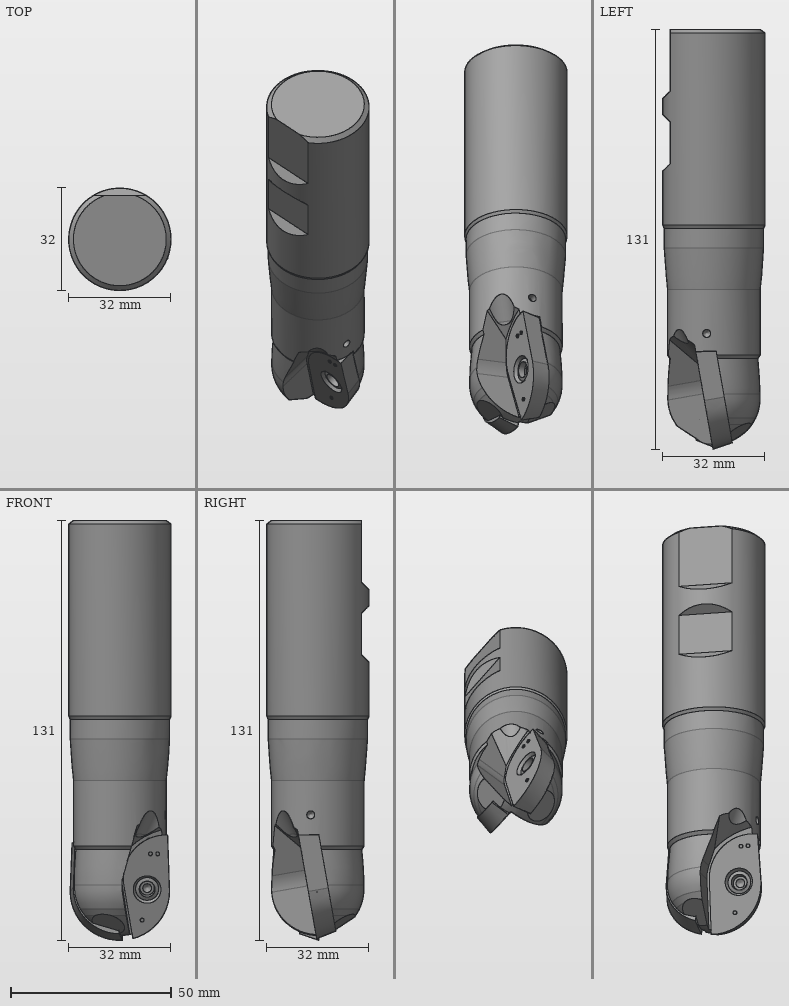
import cadquery as cq
import math

TOTAL_LENGTH = 131.0
SHANK_DIAMETER = 32.0
COLLAR_DIAMETER = 31.0
NECK_DIAMETER = 29.0
TOP_CHAMFER_HEIGHT = 1.2
SHANK_END_Z = 70.0
COLLAR_TOP_Z = 68.9
COLLAR_END_Z = 62.9
NECK_TOP_Z = 49.9
ARC_BULGE = 0.1
NECK_END_Z = 29.5

NOSE_TOP_DIAMETER = 27.5
NOSE_TOP_Z = 28.3
NOSE_CENTER_Z = 16.0
NOSE_ARC_TOP_Z = 17.3
NOSE_BAND_TOP_Z = 9.8
NOSE_BAND_END_Z = 7.7

FLAT_Y = 13.6
TOP_FLAT_END_Z = 111.7
LOWER_FLAT_TOP_Z = 102.0
LOWER_FLAT_END_Z = 89.1

CUTTING_DIAMETER = 31.0
RAKE_ANGLE = 10.0
RAKE_OFFSET = 0.3
INSERT_THICKNESS = 6.3
INSERT_RELIEF_ANGLE = 9.0
INSERT_TOP_U = 14.9
SEAT_OPENING = 1.3
INSERT_BACK_RADIUS = 13.5
OUTER_TIP_U = 4.0
OUTER_BACK_CENTER = (14.5, 19.9)
INNER_TIP_U = -0.8
INNER_BACK_CENTER = (12.7, 17.5)

SCREW_U = 8.5
SCREW_V = 16.1
SEAT_RIM_DIAMETER = 8.6
SEAT_DIAMETER = 7.2
SEAT_DEPTH = 1.0
HEAD_RISE = 0.4
SOCKET_DIAMETER = 5.0
SOCKET_FLOOR_DIAMETER = 4.5
SOCKET_DEPTH = 2.0
DRILL_POINT_DIAMETER = 2.8
DRILL_POINT_DEPTH = 0.8
DIMPLE_DIAMETER = 1.2
DIMPLE_DEPTH = 0.3
DIMPLE_PLACES = [(9.5, 27.4), (11.8, 27.4), (7.0, 6.4)]

WALL_GAP = 0.7
GASH_BEND_V = 19.8
GASH_BEND_RADIUS = 11.8
GASH_SHOULDER = (3.1, 29.5)
GASH_ARC_MIDDLE = (8.3, 33.1)
GASH_ARC_END = (14.4, 35.4)
GASH_DEPTH = 18.3
GASH_TOP_LEAN = 1.2
INNER_GASH_SHIFT = (-2.0, -2.4)
FLUTE_RADIUS = 5.1
FLUTE_START = cq.Vector(9.2, -10.7, 30.4)
FLUTE_DIRECTION = cq.Vector(3.0, -3.0, 6.6)
FLUTE_LENGTH = 26.2
INNER_SIDE_DROP = 3.0

CLEARANCE_Z = -0.8
CLEARANCE_SLOPE_X = 0.33
CLEARANCE_SLOPE_Y = 0.66

COOLANT_DIAMETER = 2.5
COOLANT_DEPTH = 2.6
COOLANT_Y = 2.2
COOLANT_Z = 39.2

rake = math.radians(RAKE_ANGLE)
RAKE_PLANE = cq.Plane(
    origin=(0, -RAKE_OFFSET, 0),
    xDir=(1, 0, 0),
    normal=(0, -math.cos(rake), -math.sin(rake)),
)


def half_turn(shape):
    return shape.rotate((0, 0, 0), (0, 0, 1), 180)


def nose_radius(z):
    """Radius of the spherical nose at height z."""
    return math.sqrt((NECK_DIAMETER / 2) ** 2 - (z - NOSE_CENTER_Z) ** 2)


def turned_blank():
    shank_r = SHANK_DIAMETER / 2
    collar_r = COLLAR_DIAMETER / 2
    neck_r = NECK_DIAMETER / 2
    nose_top_r = NOSE_TOP_DIAMETER / 2
    nose_bottom_z = NOSE_CENTER_Z - neck_r
    taper_mid = ((collar_r + neck_r) / 2 + ARC_BULGE, (COLLAR_END_Z + NECK_TOP_Z) / 2)
    nose_arc_r = nose_radius(NOSE_ARC_TOP_Z)
    flank_mid = ((nose_top_r + nose_arc_r) / 2 + ARC_BULGE, (NOSE_TOP_Z + NOSE_ARC_TOP_Z) / 2)
    band_top = (nose_radius(NOSE_BAND_TOP_Z), NOSE_BAND_TOP_Z)
    ball_mid_z = (NOSE_ARC_TOP_Z + NOSE_BAND_TOP_Z) / 2
    tip_mid_z = (NOSE_BAND_END_Z + nose_bottom_z) / 2
    return (
        cq.Workplane("XZ")
        .moveTo(0, TOTAL_LENGTH)
        .lineTo(neck_r, TOTAL_LENGTH)
        .lineTo(shank_r, TOTAL_LENGTH - TOP_CHAMFER_HEIGHT)
        .lineTo(shank_r, SHANK_END_Z)
        .lineTo(collar_r, COLLAR_TOP_Z)
        .lineTo(collar_r, COLLAR_END_Z)
        .threePointArc(taper_mid, (neck_r, NECK_TOP_Z))
        .lineTo(neck_r, NECK_END_Z)
        .lineTo(nose_top_r, NOSE_TOP_Z)
        .threePointArc(flank_mid, (nose_arc_r, NOSE_ARC_TOP_Z))
        .threePointArc((nose_radius(ball_mid_z), ball_mid_z), band_top)
        .lineTo(nose_radius(NOSE_BAND_END_Z), NOSE_BAND_END_Z)
        .threePointArc((nose_radius(tip_mid_z), tip_mid_z), (0, nose_bottom_z))
        .close()
        .revolve(360, (0, 0, 0), (0, 1, 0))
    )


def clamping_flats():
    """Material removed for the two flats; their ends rise at 45 degrees."""
    rise = SHANK_DIAMETER / 2 - FLAT_Y
    outer_y = FLAT_Y + rise
    profile = (
        cq.Workplane("YZ")
        .polyline([
            (FLAT_Y, TOTAL_LENGTH),
            (FLAT_Y, TOP_FLAT_END_Z),
            (outer_y, TOP_FLAT_END_Z - rise),
            (outer_y, TOTAL_LENGTH),
        ])
        .close()
        .polyline([
            (FLAT_Y, LOWER_FLAT_TOP_Z),
            (FLAT_Y, LOWER_FLAT_END_Z),
            (outer_y, LOWER_FLAT_END_Z - rise),
            (outer_y, LOWER_FLAT_TOP_Z + rise),
        ])
        .close()
    )
    return profile.extrude(SHANK_DIAMETER / 2, both=True)


def insert_blank(tip_u, back_center):
    """Plate with a ball-nose cutting edge, tapering away from its rake face."""
    ball_r = CUTTING_DIAMETER / 2
    center_u, center_v = back_center
    tip_v = ball_r - math.sqrt(ball_r ** 2 - tip_u ** 2)
    mid_angle = math.atan2(tip_v - ball_r, tip_u) / 2
    ball_mid = (ball_r * math.cos(mid_angle), ball_r + ball_r * math.sin(mid_angle))

    reach = math.hypot(center_u - tip_u, center_v - tip_v)
    edge_length = math.sqrt(reach ** 2 - INSERT_BACK_RADIUS ** 2)
    edge_angle = math.atan2(center_v - tip_v, center_u - tip_u) + math.asin(INSERT_BACK_RADIUS / reach)
    tangent = (tip_u + edge_length * math.cos(edge_angle), tip_v + edge_length * math.sin(edge_angle))

    top_angle = math.acos((INSERT_TOP_U - center_u) / INSERT_BACK_RADIUS)
    top_v = center_v + INSERT_BACK_RADIUS * math.sin(top_angle)
    arc_angle = (top_angle + edge_angle + math.pi / 2) / 2
    arc_mid = (
        center_u + INSERT_BACK_RADIUS * math.cos(arc_angle),
        center_v + INSERT_BACK_RADIUS * math.sin(arc_angle),
    )
    return (
        cq.Workplane(RAKE_PLANE)
        .moveTo(tip_u, tip_v)
        .threePointArc(ball_mid, (ball_r, ball_r))
        .lineTo(INSERT_TOP_U, top_v)
        .threePointArc(arc_mid, tangent)
        .close()
        .extrude(-INSERT_THICKNESS, taper=INSERT_RELIEF_ANGLE)
    )


def screw_recess():
    """Ring-shaped recess around a domed screw head, with a drilled socket in the head."""
    floor_w = HEAD_RISE - SEAT_DEPTH
    socket_w = floor_w - SOCKET_DEPTH
    section_plane = cq.Plane(
        origin=RAKE_PLANE.toWorldCoords((SCREW_U, SCREW_V)),
        xDir=RAKE_PLANE.xDir,
        normal=RAKE_PLANE.yDir * -1,
    )
    profile = (
        cq.Workplane(section_plane)
        .polyline([
            (0, 0),
            (SEAT_RIM_DIAMETER / 2, 0),
            (SEAT_DIAMETER / 2, -SEAT_DEPTH),
            (SOCKET_DIAMETER / 2, floor_w),
            (SOCKET_FLOOR_DIAMETER / 2, socket_w),
            (DRILL_POINT_DIAMETER / 2, socket_w),
            (0, socket_w - DRILL_POINT_DEPTH),
        ])
        .close()
    )
    return profile.revolve(360, (0, 0, 0), (0, 1, 0))


def index_dimples():
    return (
        cq.Workplane(RAKE_PLANE)
        .pushPoints(DIMPLE_PLACES)
        .circle(DIMPLE_DIAMETER / 2)
        .extrude(-DIMPLE_DEPTH)
    )


def chip_gash(tip_u, shift):
    """Open space in front of a rake face, with its wall square to that face."""
    shift_u, shift_v = shift

    def moved(point):
        return (point[0] + shift_u, point[1] + shift_v)

    bend = (OUTER_BACK_CENTER[0] - INSERT_BACK_RADIUS - WALL_GAP + shift_u, GASH_BEND_V)
    shoulder = moved(GASH_SHOULDER)
    arc_end = moved(GASH_ARC_END)
    wall_slope = (shoulder[0] - bend[0]) / (shoulder[1] - bend[1])
    far = SHANK_DIAMETER
    wall_start = (tip_u - WALL_GAP, 0)
    space = (
        cq.Workplane(RAKE_PLANE)
        .polyline([
            (wall_start[0], -far),
            wall_start,
            bend,
            (bend[0] + far * wall_slope, bend[1] + far),
            (far, bend[1] + far),
            (far, -far),
        ])
        .close()
        .extrude(GASH_DEPTH)
    )
    bend_middle = RAKE_PLANE.toWorldCoords((bend[0], bend[1], GASH_DEPTH / 2))
    space = space.edges(cq.NearestToPointSelector(bend_middle)).fillet(GASH_BEND_RADIUS)

    rise = GASH_TOP_LEAN * GASH_DEPTH
    lean = RAKE_PLANE.toWorldCoords((rise * wall_slope, rise, GASH_DEPTH)) - RAKE_PLANE.origin
    under_top = (
        cq.Workplane(RAKE_PLANE)
        .moveTo(-far, shoulder[1])
        .lineTo(*shoulder)
        .threePointArc(moved(GASH_ARC_MIDDLE), arc_end)
        .lineTo(far, arc_end[1])
        .lineTo(far, -2 * far)
        .lineTo(-far, -2 * far)
        .close()
    )
    return space.intersect(cq.Workplane(cq.Solid.extrudeLinear(under_top.val(), [], lean)))


def flute(drop):
    """Ball-ended groove that carries chips up and out of the gash."""
    start = FLUTE_START - cq.Vector(0, 0, drop)
    groove = cq.Solid.makeCylinder(FLUTE_RADIUS, FLUTE_LENGTH, start, FLUTE_DIRECTION)
    ball = cq.Workplane("XY").sphere(FLUTE_RADIUS).translate(start)
    return ball.union(cq.Workplane(groove))


def clearance_cut():
    """Wedge below the sloping face that clears the holder behind an insert on the +X side."""
    plane = cq.Plane(
        origin=(0, 0, CLEARANCE_Z),
        xDir=(1, 0, CLEARANCE_SLOPE_X),
        normal=(-CLEARANCE_SLOPE_X, -CLEARANCE_SLOPE_Y, 1),
    )
    span = 4 * SHANK_DIAMETER
    below = cq.Workplane(plane).rect(span, span).extrude(-SHANK_DIAMETER)
    rear = cq.Workplane("XY").box(span, SHANK_DIAMETER, span, centered=(True, False, True))
    return below.intersect(rear)


def coolant_hole(drop):
    """Short hole with a conical bottom, drilled in from the +X side."""
    depth_x = NECK_DIAMETER / 2 - COOLANT_DEPTH
    radius = COOLANT_DIAMETER / 2
    return (
        cq.Workplane("XY", origin=(0, -COOLANT_Y, COOLANT_Z - drop))
        .polyline([(depth_x - radius, 0), (depth_x, radius), (SHANK_DIAMETER, radius), (SHANK_DIAMETER, 0)])
        .close()
        .revolve(360, (0, 0, 0), (1, 0, 0))
    )


def insert(blank):
    """Finished insert with its screw recess and index dimples."""
    return blank.cut(screw_recess()).cut(index_dimples())


def insert_seat(blank):
    """Seat that fits the insert and stays open past its outer flank."""
    return blank.union(blank.translate((SEAT_OPENING, 0, 0)))


def side_cuts(tip_u, gash_shift, drop, blank):
    """Everything cut from the holder for one insert, with that insert on the +X side."""
    return [
        chip_gash(tip_u, gash_shift),
        flute(drop),
        clearance_cut(),
        coolant_hole(drop),
        insert_seat(blank),
    ]


def holder(outer_blank, inner_blank):
    """Turned holder with flats, chip space and a seat for each insert."""
    body = turned_blank().cut(clamping_flats())
    for cutter in side_cuts(OUTER_TIP_U, (0, 0), 0, outer_blank):
        body = body.cut(cutter)
    for cutter in side_cuts(INNER_TIP_U, INNER_GASH_SHIFT, INNER_SIDE_DROP, inner_blank):
        body = body.cut(half_turn(cutter))
    return body


outer_blank = insert_blank(OUTER_TIP_U, OUTER_BACK_CENTER)
inner_blank = insert_blank(INNER_TIP_U, INNER_BACK_CENTER)
outer_insert = insert(outer_blank)
inner_insert = half_turn(insert(inner_blank))
tool_holder = holder(outer_blank, inner_blank)

bodies = [tool_holder, outer_insert, inner_insert]
result = cq.Compound.makeCompound([body.solids().val() for body in bodies])